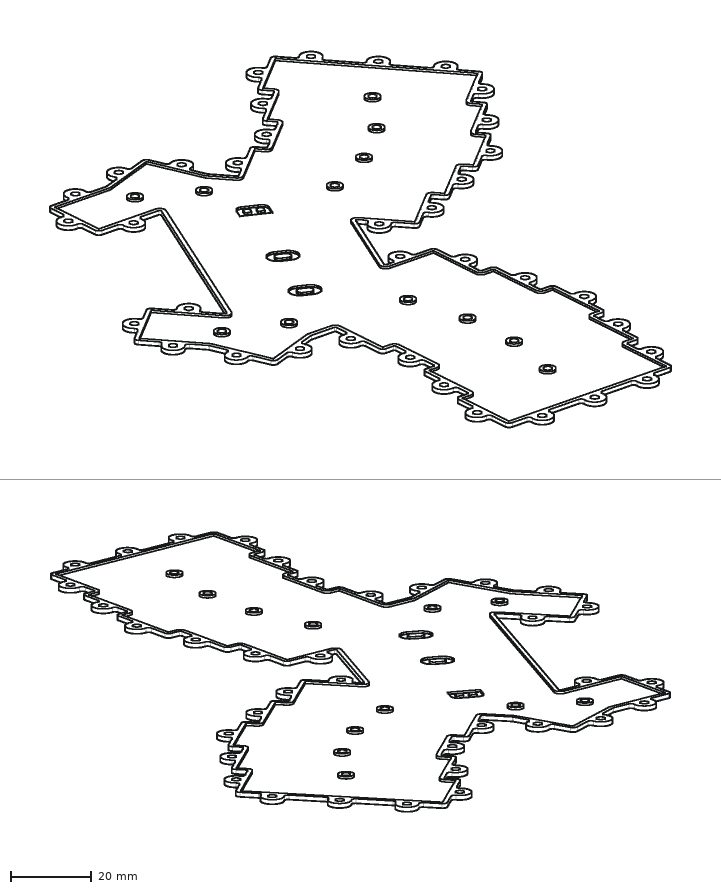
import cadquery as cq
import math

THICKNESS = 1.2
FLOOR_THICKNESS = 0.6
RIM_WIDTH = 1.2
CORNER_RADIUS = 1.5

WING_CENTRE = (-57.0, 26.7)
WING_ANGLE = -25
COLUMN_PITCH = 18.0
COLUMN_HEIGHT = 51.0
ROWS = 3
COLUMN_DROPS = (8.5, 4.0, 0, 4.0, 8.5)
KEY_DEPTH = COLUMN_HEIGHT / ROWS

INNER_KEY_CENTRE = (-48.5, -32.4)
INNER_KEY_ANGLE = 45
OUTER_KEY_ANGLE = 25

BRIDGE_TOP = 8.0
BRIDGE_BOTTOM = -34.9

TOLERANCE = 0.002

TAB_DIAMETER = 6.0
TAB_REACH = 2.7
TAB_FILLET = 1.0
SCREW_HOLE_DIAMETER = 2.2

BOSS_DIAMETER = 4.0
BRIDGE_BOSSES = ((-40.8, -22.5), (-41.7, -40.1))

WINDOW_CENTRE_Y = -13.5
WINDOW_HEIGHT = 8.5
OVAL_WIDTH = 5.7
OVAL_CENTRES_X = (1.0, 22.0)
OVAL_ISLAND_WIDTH = 2.5
OVAL_ISLAND_HEIGHT = 4.3
DOUBLE_CENTRE_X = -27.4
DOUBLE_WIDTH = 5.2
DOUBLE_CORNER_RADIUS = 1.8
BLOCK_ISLAND_WIDTH = 2.0
BLOCK_ISLAND_HEIGHT = 1.8
BLOCK_ISLAND_CENTRES_Y = (-15.0, -11.6)


def place(origin, angle, point):
    """Turn a local point by an angle in degrees and move it to an origin."""
    cos, sin = math.cos(math.radians(angle)), math.sin(math.radians(angle))
    x, y = point
    return (origin[0] + x * cos - y * sin, origin[1] + x * sin + y * cos)


def mirrored(point):
    return (-point[0], point[1])


def both_sides(points):
    return points + [mirrored(point) for point in points]


def crossing(point, angle, other_point, other_angle):
    """Point where two lines, each given by a point and an angle, cross."""
    dx, dy = math.cos(math.radians(angle)), math.sin(math.radians(angle))
    ex, ey = math.cos(math.radians(other_angle)), math.sin(math.radians(other_angle))
    gap_x, gap_y = other_point[0] - point[0], other_point[1] - point[1]
    along = (gap_x * ey - gap_y * ex) / (dx * ey - dy * ex)
    return (point[0] + along * dx, point[1] + along * dy)


def on_wing(x, y):
    return place(WING_CENTRE, WING_ANGLE, (x, y))


def on_inner_key(x, y):
    return place(INNER_KEY_CENTRE, INNER_KEY_ANGLE, (x, y))


SHARED_CORNER = on_inner_key(-KEY_DEPTH / 2, -COLUMN_PITCH / 2)


def on_outer_key(x, y):
    return place(SHARED_CORNER, OUTER_KEY_ANGLE, (x, y))


def column_x(column):
    """Centre of a key column, counted from the outside of the wing."""
    return (column - (len(COLUMN_DROPS) - 1) / 2) * COLUMN_PITCH


def wing_outline():
    """Left wing, from the inner end of the top edge round to the last free bottom corner."""
    half = COLUMN_PITCH / 2
    top, bottom = [], []
    for column, drop in enumerate(COLUMN_DROPS):
        left, right = column_x(column) - half, column_x(column) + half
        top += [on_wing(left, COLUMN_HEIGHT / 2 - drop), on_wing(right, COLUMN_HEIGHT / 2 - drop)]
        bottom += [on_wing(left, -COLUMN_HEIGHT / 2 - drop), on_wing(right, -COLUMN_HEIGHT / 2 - drop)]
    return top[::-1] + bottom[:-2]


def plate_outline():
    wing = wing_outline()
    wing_side = WING_ANGLE + 90
    bridge_top_corner = crossing(wing[0], wing_side, (0, BRIDGE_TOP), 0)
    key_tip = on_inner_key(-KEY_DEPTH / 2, COLUMN_PITCH / 2)
    waist = crossing(wing[-1], wing_side, key_tip, INNER_KEY_ANGLE)
    outer_bottom_left = on_outer_key(0, -COLUMN_PITCH)
    outer_bottom_right = on_outer_key(KEY_DEPTH, -COLUMN_PITCH)
    bridge_bottom_corner = crossing(outer_bottom_right, OUTER_KEY_ANGLE + 90, (0, BRIDGE_BOTTOM), 0)
    left = [bridge_top_corner, *wing, waist, key_tip, SHARED_CORNER]
    left += [outer_bottom_left, outer_bottom_right, bridge_bottom_corner]
    return left + [mirrored(point) for point in reversed(left)]


def tab_centres():
    half_height = COLUMN_HEIGHT / 2 + TAB_REACH
    half_width = COLUMN_PITCH * len(COLUMN_DROPS) / 2 + TAB_REACH
    centres = []
    for column, drop in enumerate(COLUMN_DROPS):
        centres.append(on_wing(column_x(column), half_height - drop))
        if column < len(COLUMN_DROPS) - 1:
            centres.append(on_wing(column_x(column), -half_height - drop))
    for row in range(ROWS):
        centres.append(on_wing(-half_width, (1 - row) * KEY_DEPTH - COLUMN_DROPS[0]))
    centres.append(on_wing(half_width, KEY_DEPTH - COLUMN_DROPS[-1]))
    centres.append(on_inner_key(0, COLUMN_PITCH / 2 + TAB_REACH))
    centres.append(on_inner_key(-KEY_DEPTH / 2 - TAB_REACH, 0))
    centres.append(on_outer_key(-TAB_REACH, -COLUMN_PITCH / 2))
    centres.append(on_outer_key(KEY_DEPTH / 2, -COLUMN_PITCH - TAB_REACH))
    centres.append(on_outer_key(KEY_DEPTH + TAB_REACH, -COLUMN_PITCH / 2))
    return both_sides(centres)


def boss_centres():
    """One boss between each pair of neighbouring columns, and two in the bridge."""
    centres = list(BRIDGE_BOSSES)
    for column in range(len(COLUMN_DROPS) - 1):
        mean_drop = (COLUMN_DROPS[column] + COLUMN_DROPS[column + 1]) / 2
        centres.append(on_wing(column_x(column) + COLUMN_PITCH / 2, -mean_drop))
    return both_sides(centres)


def oval(x, width, height):
    """Upright round-ended block in the row of windows."""
    return cq.Workplane().center(x, WINDOW_CENTRE_Y).slot2D(height, width, 90).extrude(FLOOR_THICKNESS)


def oval_island(x):
    return oval(x, OVAL_ISLAND_WIDTH, OVAL_ISLAND_HEIGHT)


def oval_window(x):
    return oval(x, OVAL_WIDTH, WINDOW_HEIGHT)


def block(y, width, height):
    """Rectangular block at the double window."""
    return cq.Workplane().center(DOUBLE_CENTRE_X, y).rect(width, height).extrude(FLOOR_THICKNESS)


def block_island(y):
    return block(y, BLOCK_ISLAND_WIDTH, BLOCK_ISLAND_HEIGHT)


def double_window():
    window = block(WINDOW_CENTRE_Y, DOUBLE_WIDTH, WINDOW_HEIGHT)
    return window.edges("|Z and <X").fillet(DOUBLE_CORNER_RADIUS)


def cylinders(centres, diameter, height):
    return cq.Workplane().pushPoints(centres).circle(diameter / 2).extrude(height)


def meets_tab(edge):
    """True for an upright edge where a tab meets the rim."""
    middle = edge.Center()
    distances = [math.dist((middle.x, middle.y), centre) for centre in tab_centres()]
    return abs(min(distances) - TAB_DIAMETER / 2) < TOLERANCE


def rounded_outline(growth):
    """Plate outline moved out by some distance, with its inward corners rounded."""
    sharp = cq.Workplane().polyline(plate_outline()).close()
    return sharp.offset2D(CORNER_RADIUS).offset2D(growth - CORNER_RADIUS)


def plate():
    slab = rounded_outline(RIM_WIDTH).extrude(THICKNESS)
    slab = slab.union(cylinders(tab_centres(), TAB_DIAMETER, THICKNESS))
    slab = slab.edges("|Z").filter(meets_tab).fillet(TAB_FILLET)

    recess = rounded_outline(0).extrude(THICKNESS)
    recess = recess.translate((0, 0, FLOOR_THICKNESS))
    bosses = cylinders(boss_centres(), BOSS_DIAMETER, THICKNESS)
    screw_holes = cylinders(tab_centres() + boss_centres(), SCREW_HOLE_DIAMETER, THICKNESS)
    body = slab.cut(recess).union(bosses).cut(screw_holes).cut(double_window())
    for x in OVAL_CENTRES_X:
        body = body.cut(oval_window(x))
    return body


base_plate = plate()
oval_islands = [oval_island(x) for x in OVAL_CENTRES_X]
block_islands = [block_island(y) for y in BLOCK_ISLAND_CENTRES_Y]

bodies = [base_plate, *oval_islands, *block_islands]
result = cq.Compound.makeCompound([body.val() for body in bodies])